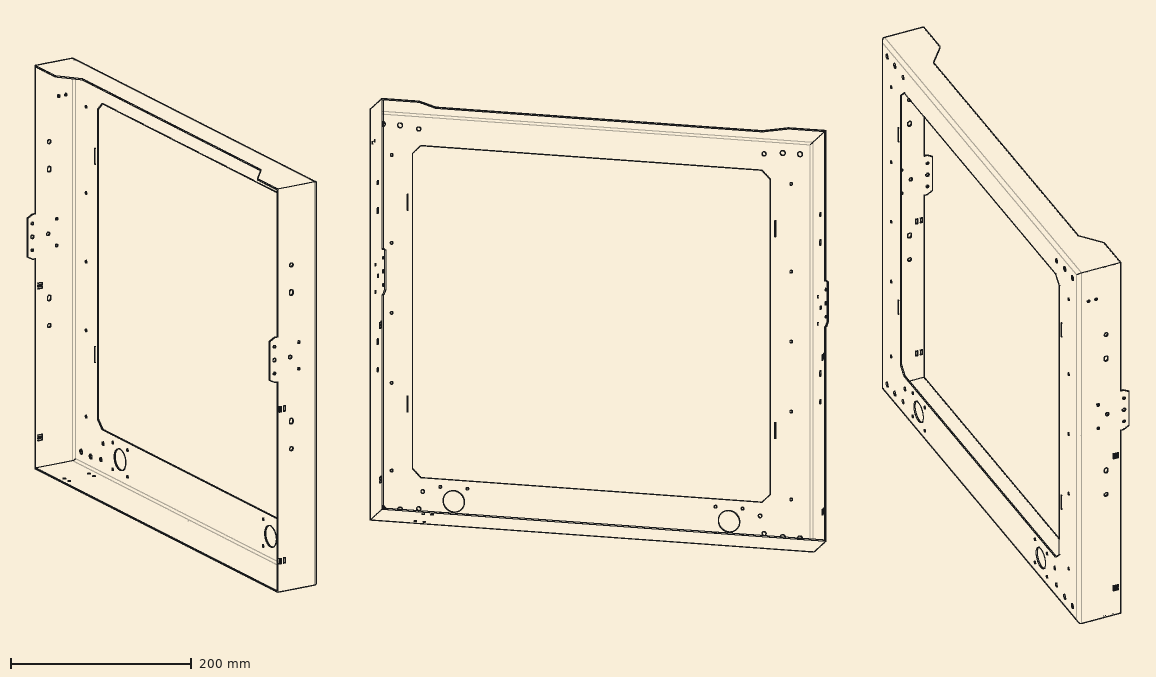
import cadquery as cq

WIDTH = 510.0
HEIGHT = 470.0
FLANGE_DEPTH = 52.0
TAB_DEPTH = 62.0
SHEET = 1.5
CUT_DEPTH = 2 * SHEET
BEND_RADIUS = 4.0

WINDOW_HALF_WIDTH = 205.5
WINDOW_TOP = 198.5
WINDOW_BOTTOM = -181.5
WINDOW_CHAMFER = 9.5

CORNER_HOLES_X = (220.0, 239.5)
CORNER_HOLES_Z = 220.0
CORNER_HOLE_DIAMETER = 5.5
INNER_CORNER_X = 198.5
INNER_CORNER_Z = 217.5
INNER_CORNER_DIAMETER = 4.5
SIDE_ROW_X = 229.5
SIDE_ROW_MIDDLE_Z = 4.5
SIDE_ROW_OFFSETS = (-180.5, -80.0, 0, 80.0, 180.5)
SMALL_HOLE_DIAMETER = 3.0
SLIT_X = 211.0
SLITS_Z = (132.5, -98.5)
SLIT_LENGTH = 18.5
SLIT_WIDTH = 1.0

PORT_X = 158.0
PORT_Z = -206.0
PORT_DIAMETER = 24.5
PORT_FIXING_PITCH = 31.0
LOCATING_X = 194.0
LOCATING_Z = -197.5
LOCATING_DIAMETER = 4.0

TAB_Z = 36.0
TAB_BASE_HEIGHT = 52.5
TAB_TIP_HEIGHT = 45.5
TAB_STEP = 3.5
TAB_FIXING_DEPTHS = (24.5, 56.0)
TAB_FIXING_PITCH = 31.0
TAB_CENTRE_DEPTH = 35.5
TAB_CENTRE_DIAMETER = 4.0

MOUNT_DEPTH = 34.0
MOUNT_HOLE_OFFSET = 107.0
MOUNT_SLOT_OFFSET = 75.0
MOUNT_DIAMETER = 4.5
MOUNT_SLOT_LENGTH = 6.5

PAIR_SLOTS_Z = (-22.5, -199.5)
PAIR_SLOT_DEPTH = 46.0
LYING_PAIR_PITCH = 4.0
UPRIGHT_PAIR_PITCH = 5.5
PAIR_SLOT_LENGTH = 6.0
PAIR_SLOT_WIDTH = 2.5

LEFT_PAIR_DEPTHS = (13.0, 22.0)
LEFT_PAIR_Z = 194.5
BOTTOM_PAIR_X = (-205.5, -195.5)
BOTTOM_PAIR_DEPTHS = (12.0, 44.5)

RECESS_DEPTH = 32.0
RECESS_FRONT_HALF_WIDTH = 212.0
RECESS_BACK_HALF_WIDTH = 187.5

SIDES = (-1, 1)


def folded_box():
    outer = (
        cq.Workplane("XY")
        .box(WIDTH, FLANGE_DEPTH, HEIGHT)
        .translate((0, -FLANGE_DEPTH / 2, 0))
        .faces(">Y").edges().fillet(BEND_RADIUS)
    )
    inner = (
        cq.Workplane("XY")
        .box(WIDTH - 2 * SHEET, FLANGE_DEPTH, HEIGHT - 2 * SHEET)
        .translate((0, -FLANGE_DEPTH / 2 - SHEET, 0))
        .faces(">Y").edges().fillet(BEND_RADIUS - SHEET)
    )
    return outer.cut(inner)


def side_plane(side):
    """YZ sketch plane on the outer face of a side flange, extruding inward with negative lengths."""
    return cq.Workplane("YZ", origin=(side * WIDTH / 2, 0, 0))


def tab(side):
    return (
        side_plane(side)
        .moveTo(-FLANGE_DEPTH + SHEET, TAB_Z - TAB_BASE_HEIGHT / 2)
        .lineTo(-FLANGE_DEPTH - TAB_STEP, TAB_Z - TAB_BASE_HEIGHT / 2)
        .lineTo(-TAB_DEPTH, TAB_Z - TAB_TIP_HEIGHT / 2)
        .lineTo(-TAB_DEPTH, TAB_Z + TAB_TIP_HEIGHT / 2)
        .lineTo(-FLANGE_DEPTH - TAB_STEP, TAB_Z + TAB_BASE_HEIGHT / 2)
        .lineTo(-FLANGE_DEPTH + SHEET, TAB_Z + TAB_BASE_HEIGHT / 2)
        .close()
        .extrude(-side * SHEET)
    )


def window():
    return (
        cq.Workplane("XY")
        .box(2 * WINDOW_HALF_WIDTH, 2 * CUT_DEPTH, WINDOW_TOP - WINDOW_BOTTOM)
        .edges("|Y").chamfer(WINDOW_CHAMFER)
        .translate((0, 0, (WINDOW_TOP + WINDOW_BOTTOM) / 2))
    )


def back_holes(points, diameter):
    return cq.Workplane("XZ").pushPoints(points).circle(diameter / 2).extrude(CUT_DEPTH, both=True)


def side_holes(side, points, diameter):
    return side_plane(side).pushPoints(points).circle(diameter / 2).extrude(CUT_DEPTH, both=True)


def cut_back_panel(body):
    body = body.cut(window())
    for side in SIDES:
        corners = [(side * x, z) for x in CORNER_HOLES_X for z in (-CORNER_HOLES_Z, CORNER_HOLES_Z)]
        inner_corners = [(side * INNER_CORNER_X, z) for z in (-INNER_CORNER_Z, INNER_CORNER_Z)]
        row = [(side * SIDE_ROW_X, SIDE_ROW_MIDDLE_Z + offset) for offset in SIDE_ROW_OFFSETS]
        half_pitch = PORT_FIXING_PITCH / 2
        fixings = [
            (side * PORT_X + dx, PORT_Z + dz)
            for dx in (-half_pitch, half_pitch)
            for dz in (-half_pitch, half_pitch)
        ]
        slits = (
            cq.Workplane("XZ")
            .pushPoints([(side * SLIT_X, z) for z in SLITS_Z])
            .rect(SLIT_WIDTH, SLIT_LENGTH)
            .extrude(CUT_DEPTH, both=True)
        )
        body = (
            body.cut(back_holes(corners, CORNER_HOLE_DIAMETER))
            .cut(back_holes(inner_corners, INNER_CORNER_DIAMETER))
            .cut(back_holes(row + fixings, SMALL_HOLE_DIAMETER))
            .cut(back_holes([(side * PORT_X, PORT_Z)], PORT_DIAMETER))
            .cut(back_holes([(side * LOCATING_X, LOCATING_Z)], LOCATING_DIAMETER))
            .cut(slits)
        )
    return body


def pair_slots(side):
    """Paired slots, lying along Y in the left flange and upright in the right flange."""
    lying = side < 0
    step_y, step_z = (0, LYING_PAIR_PITCH / 2) if lying else (UPRIGHT_PAIR_PITCH / 2, 0)
    size = (PAIR_SLOT_LENGTH, PAIR_SLOT_WIDTH) if lying else (PAIR_SLOT_WIDTH, PAIR_SLOT_LENGTH)
    centres = [
        (-PAIR_SLOT_DEPTH + sign * step_y, z + sign * step_z) for z in PAIR_SLOTS_Z for sign in SIDES
    ]
    return side_plane(side).pushPoints(centres).rect(*size).extrude(CUT_DEPTH, both=True)


def cut_side_flange(body, side):
    half_pitch = TAB_FIXING_PITCH / 2
    fixings = [(-depth, TAB_Z + dz) for depth in TAB_FIXING_DEPTHS for dz in (-half_pitch, half_pitch)]
    centres = [(-TAB_CENTRE_DEPTH, TAB_Z), (-TAB_FIXING_DEPTHS[1], TAB_Z)]
    mounts = [(-MOUNT_DEPTH, TAB_Z + sign * MOUNT_HOLE_OFFSET) for sign in SIDES]
    mount_slots = (
        side_plane(side)
        .pushPoints([(-MOUNT_DEPTH, TAB_Z + sign * MOUNT_SLOT_OFFSET) for sign in SIDES])
        .slot2D(MOUNT_SLOT_LENGTH, MOUNT_DIAMETER, 90)
        .extrude(CUT_DEPTH, both=True)
    )
    return (
        body.cut(side_holes(side, fixings, SMALL_HOLE_DIAMETER))
        .cut(side_holes(side, centres, TAB_CENTRE_DIAMETER))
        .cut(side_holes(side, mounts, MOUNT_DIAMETER))
        .cut(mount_slots)
        .cut(pair_slots(side))
    )


def bottom_holes():
    return (
        cq.Workplane("XY", origin=(0, 0, -HEIGHT / 2))
        .pushPoints([(x, -depth) for x in BOTTOM_PAIR_X for depth in BOTTOM_PAIR_DEPTHS])
        .circle(SMALL_HOLE_DIAMETER / 2)
        .extrude(CUT_DEPTH, both=True)
    )


def top_recess():
    return (
        cq.Workplane("XY", origin=(0, 0, HEIGHT / 2))
        .polyline([
            (-RECESS_FRONT_HALF_WIDTH, -FLANGE_DEPTH),
            (-RECESS_BACK_HALF_WIDTH, -RECESS_DEPTH),
            (RECESS_BACK_HALF_WIDTH, -RECESS_DEPTH),
            (RECESS_FRONT_HALF_WIDTH, -FLANGE_DEPTH),
        ])
        .close()
        .extrude(-CUT_DEPTH)
    )


frame = folded_box()
for flange_side in SIDES:
    frame = frame.union(tab(flange_side))
frame = cut_back_panel(frame)
for flange_side in SIDES:
    frame = cut_side_flange(frame, flange_side)
left_pair = [(-depth, LEFT_PAIR_Z) for depth in LEFT_PAIR_DEPTHS]
frame = frame.cut(side_holes(-1, left_pair, SMALL_HOLE_DIAMETER))
frame = frame.cut(bottom_holes())
result = frame.cut(top_recess())